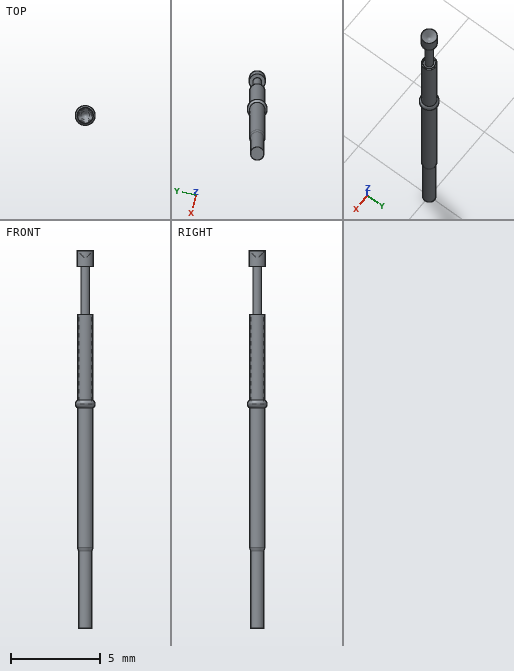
import cadquery as cq
import math

total_length = 21.05

tail_diameter = 0.75
tail_length = 4.31
taper_height = 0.19
barrel_diameter = 0.86
barrel_top = 17.5
bore_diameter = 0.7
bore_depth = 5.0
bore_floor = barrel_top - bore_depth

collar_diameter = 1.11
collar_arc_radius = 0.25
collar_to_top = 5.0
collar_middle = barrel_top - collar_to_top

guide_diameter = 0.68
rod_diameter = 0.48
head_diameter = 0.9
head_length = 0.9
cup_depth = head_diameter / 2


def revolve_about_z(profile):
    """Turn a closed half-profile in the XZ plane into a solid of revolution."""
    return profile.revolve(360, (0, 0, 0), (0, 1, 0))


def make_barrel():
    """Stepped tube: thin solid tail, short taper, collar and a blind bore open at the top."""
    tail_radius = tail_diameter / 2
    barrel_radius = barrel_diameter / 2
    bore_radius = bore_diameter / 2
    collar_radius = collar_diameter / 2

    arc_center = collar_radius - collar_arc_radius
    half_height = math.sqrt(collar_arc_radius**2 - (barrel_radius - arc_center) ** 2)
    via_angle = math.asin(half_height / collar_arc_radius) / 2
    via_radius = arc_center + collar_arc_radius * math.cos(via_angle)
    via_height = collar_arc_radius * math.sin(via_angle)
    collar_bottom = collar_middle - half_height
    collar_top = collar_middle + half_height

    profile = (
        cq.Workplane("XZ")
        .lineTo(tail_radius, 0)
        .lineTo(tail_radius, tail_length)
        .lineTo(barrel_radius, tail_length + taper_height)
        .lineTo(barrel_radius, collar_bottom)
        .threePointArc((via_radius, collar_middle - via_height), (collar_radius, collar_middle))
        .threePointArc((via_radius, collar_middle + via_height), (barrel_radius, collar_top))
        .lineTo(barrel_radius, barrel_top)
        .lineTo(bore_radius, barrel_top)
        .lineTo(bore_radius, bore_floor)
        .lineTo(0, bore_floor)
        .close()
    )
    return revolve_about_z(profile)


def make_plunger():
    """Guide that runs up the bore to its mouth, thinner rod, and a head with a conical cup."""
    guide_radius = guide_diameter / 2
    rod_radius = rod_diameter / 2
    head_radius = head_diameter / 2
    head_bottom = total_length - head_length

    profile = (
        cq.Workplane("XZ")
        .moveTo(0, bore_floor)
        .lineTo(guide_radius, bore_floor)
        .lineTo(guide_radius, barrel_top)
        .lineTo(rod_radius, barrel_top)
        .lineTo(rod_radius, head_bottom)
        .lineTo(head_radius, head_bottom)
        .lineTo(head_radius, total_length)
        .lineTo(0, total_length - cup_depth)
        .close()
    )
    return revolve_about_z(profile)


barrel = make_barrel()
plunger = make_plunger()

result = cq.Compound.makeCompound([barrel.val(), plunger.val()])